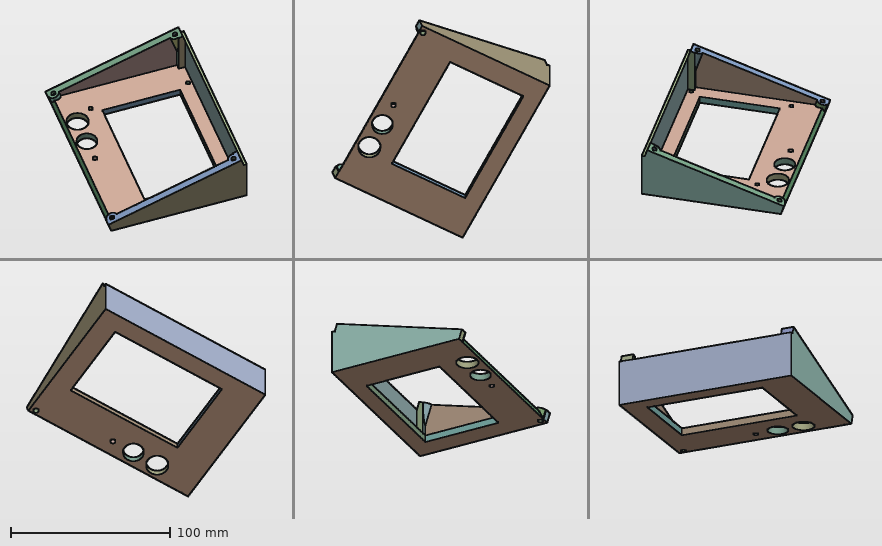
import cadquery as cq
import math

width = 119.0
depth = 92.2
height = 34.3

side_thickness = 5.0
front_tip_height = 6.4
apex_setback = 3.6
apex_y = depth - apex_setback
slope = (height - front_tip_height) / apex_y
slope_angle = math.atan(slope)
front_foot_y = front_tip_height * slope

floor_thickness = 4.8
back_height = 29.3
back_thickness = 2.0
back_step_y = apex_y + (height - back_height) * slope

boss_radius = 3.7
boss_inset = 4.0
front_boss_y = 3.9
rear_boss_y = 84.8
screw_hole_radius = 1.4
screw_hole_depth = 2.6
bore_radius = 1.7
post_width = 8.2
post_front_y = 85.9

window_left = 25.2
window_right = 104.7
window_front = 29.2
window_back = 80.9
mount_left = 21.3
mount_right = 109.0
mount_front = 22.7
mount_back = 87.6
mount_radius = 1.3
mount_depth = 3.0
mount_tip_depth = 0.8

panel_hole_y = 11.3
panel_holes = [(28.9, 7.0), (46.6, 6.5), (61.9, 1.5)]

left = -width / 2


def extrude_along_x(points, start_x, length):
    """Extrude a closed (Y, Z) outline towards +X."""
    return cq.Workplane("YZ").polyline(points).close().extrude(length).translate((start_x, 0, 0))


def block(x_range, y_range, z_range):
    """Box spanning the given ranges."""
    size = [high - low for low, high in (x_range, y_range, z_range)]
    corner = (x_range[0], y_range[0], z_range[0])
    return cq.Workplane("XY").box(*size, centered=False).translate(corner)


def square_to_slope(x, y, radius, length):
    """Cylinder going down from the sloping top, square to it."""
    top_point = (x, y, front_tip_height + y * slope)
    inward = (0, slope, -1)
    return cq.Workplane(cq.Plane(top_point, (1, 0, 0), inward)).circle(radius).extrude(length)


def floor_hole(x, y, radius, hole_depth):
    """Vertical hole cutter going down from the floor's upper face."""
    start = floor_thickness - hole_depth
    return cq.Workplane("XY").workplane(offset=start).center(x, y).circle(radius).extrude(hole_depth)


def drill_tip(x, y):
    """Conical bottom of a mounting hole."""
    tip = cq.Solid.makeCone(mount_radius, 0, mount_tip_depth, dir=cq.Vector(0, 0, -1))
    return cq.Workplane(tip.translate(cq.Vector(x, y, floor_thickness - mount_depth)))


side_outline = [
    (front_foot_y, 0),
    (depth, 0),
    (depth, back_height),
    (back_step_y, back_height),
    (apex_y, height),
    (0, front_tip_height),
]
envelope = extrude_along_x(side_outline, left, width)

floor_outline = [
    (front_foot_y, 0),
    (depth, 0),
    (depth, floor_thickness),
    (front_foot_y + floor_thickness * slope, floor_thickness),
]
body = extrude_along_x(floor_outline, left, width)
body = body.union(block((left, -left), (depth - back_thickness, depth), (0, back_height)))

for side in (-1, 1):
    wall_start = left if side < 0 else -left - side_thickness
    post_start = left if side < 0 else -left - post_width
    post = block((post_start, post_start + post_width), (post_front_y, depth), (0, height))
    body = body.union(extrude_along_x(side_outline, wall_start, side_thickness))
    body = body.union(post.intersect(envelope))
    boss_x = side * (width / 2 - boss_inset)
    front_boss = square_to_slope(boss_x, front_boss_y, boss_radius, front_tip_height)
    rear_boss = square_to_slope(boss_x, rear_boss_y, boss_radius, height)
    body = body.union(front_boss.intersect(envelope)).union(rear_boss.intersect(envelope))

for side in (-1, 1):
    boss_x = side * (width / 2 - boss_inset)
    for boss_y in (front_boss_y, rear_boss_y):
        body = body.cut(square_to_slope(boss_x, boss_y, screw_hole_radius, screw_hole_depth))

bore_x = width / 2 - boss_inset
bore_y = front_boss_y + screw_hole_depth * math.sin(slope_angle)
bottom_z = front_tip_height + front_boss_y * slope - screw_hole_depth * math.cos(slope_angle)
bore_height = bottom_z + screw_hole_radius * slope
bore = cq.Workplane("XY").center(bore_x, bore_y).circle(bore_radius).extrude(bore_height)
body = body.cut(bore)

window_x = (left + window_left, left + window_right)
body = body.cut(block(window_x, (window_front, window_back), (0, floor_thickness)))
for mount_x in (mount_left, mount_right):
    for mount_y in (mount_front, mount_back):
        body = body.cut(floor_hole(left + mount_x, mount_y, mount_radius, mount_depth))
        body = body.cut(drill_tip(left + mount_x, mount_y))
for hole_x, hole_radius in panel_holes:
    body = body.cut(floor_hole(left + hole_x, panel_hole_y, hole_radius, floor_thickness))

result = body